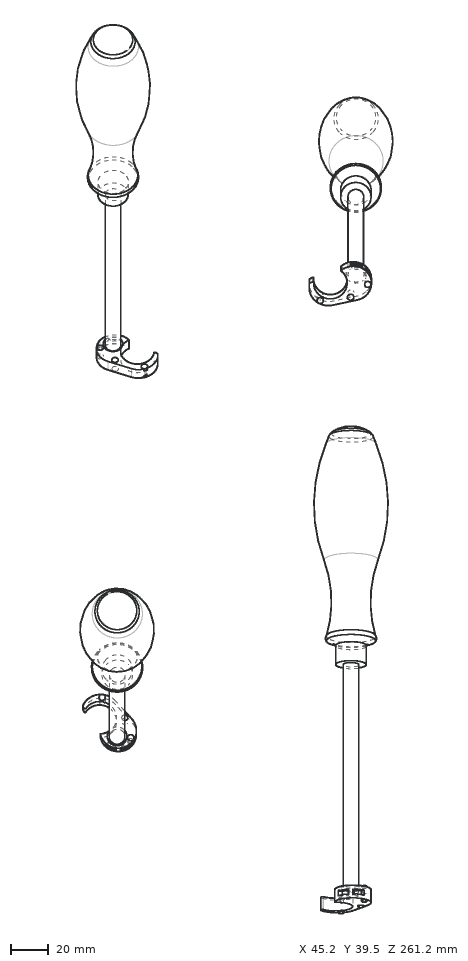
import cadquery as cq
import math

total_height = 261.2
nub_height = 1.0
hook_thickness = 7.0
hook_bottom = nub_height
hook_top = hook_bottom + hook_thickness
ferrule_bottom = 130.9
ferrule_top = 141.3
flare_mid_height = 142.9
lip_bottom = 144.0
lip_top = 146.5
waist_height = 165.0
swell_bottom = 188.3
belly_height = 218.5
swell_top = 252.0
cap_shoulder = 256.2
cap_dome_base = 257.8

belly_diameter = 39.5
belly_radius = belly_diameter / 2
ferrule_radius = 8.0
flare_mid_radius = 9.5
lip_radius = 13.5
lip_neck_radius = 13.0
waist_radius = 10.5
swell_bottom_radius = 14.4
swell_top_radius = 13.3
cap_shoulder_radius = 11.8
cap_dome_radius = 10.5
shaft_radius = 4.2

head_center = (2.5, -1.8)
head_radius = 9.7
jaw_center = (15.1, 3.0)
jaw_radius = 10.32
throat_center = (13.0, 4.5)
throat_radius = 9.0
tip_y = 10.0
tip_rounding = 0.5

nub_radius = 1.7
nub_places = [(-3.7, -6.3), (7.8, -7.8), (22.7, -1.3)]

pocket_mouth_width = 7.3
pocket_floor_width = 4.0
pocket_height = 2.5
pocket_depth = 2.4
pocket_angles = [183, 130]

countersink_radius = 5.2
countersink_depth = 0.8


def cap_sphere_radius(base_radius, rise):
    """Radius of the sphere whose cap has this base radius and rise."""
    return (base_radius**2 + rise**2) / (2 * rise)


def on_circle(center, radius, angle):
    return (center[0] + radius * math.cos(angle), center[1] + radius * math.sin(angle))


def on_circle_at_y(center, radius, y):
    """Point on the +X half of a circle at the given Y."""
    return on_circle(center, radius, math.asin((y - center[1]) / radius))


def direction_and_distance(start, end):
    dx = end[0] - start[0]
    dy = end[1] - start[1]
    return math.atan2(dy, dx), math.hypot(dx, dy)


def make_handle():
    """Turned grip with a domed cap, a lip and a plain ferrule."""
    dome_sphere = cap_sphere_radius(cap_dome_radius, total_height - cap_dome_base)
    dome_mid_radius = cap_dome_radius / 2
    dome_mid_height = total_height - dome_sphere + math.sqrt(dome_sphere**2 - dome_mid_radius**2)
    profile = (
        cq.Workplane("XZ")
        .moveTo(0, ferrule_bottom)
        .lineTo(ferrule_radius, ferrule_bottom)
        .lineTo(ferrule_radius, ferrule_top)
        .threePointArc((flare_mid_radius, flare_mid_height), (lip_neck_radius, lip_bottom))
        .threePointArc((lip_radius, (lip_bottom + lip_top) / 2), (lip_neck_radius, lip_top))
        .threePointArc((waist_radius, waist_height), (swell_bottom_radius, swell_bottom))
        .threePointArc((belly_radius, belly_height), (swell_top_radius, swell_top))
        .lineTo(cap_shoulder_radius, cap_shoulder)
        .lineTo(cap_dome_radius, cap_dome_base)
        .threePointArc((dome_mid_radius, dome_mid_height), (0, total_height))
        .close()
    )
    return profile.revolve(360, (0, 0, 0), (0, 1, 0))


def make_hook_plate():
    """Flat hook: a round head whose straight back runs tangent into the curved jaw."""
    jaw_direction, jaw_distance = direction_and_distance(head_center, jaw_center)
    tangent_angle = jaw_direction - math.acos((head_radius - jaw_radius) / jaw_distance)
    back_start = on_circle(head_center, head_radius, tangent_angle)
    back_end = on_circle(jaw_center, jaw_radius, tangent_angle)

    throat_direction, throat_distance = direction_and_distance(head_center, throat_center)
    horn_angle = throat_direction + math.acos(
        (head_radius**2 + throat_distance**2 - throat_radius**2) / (2 * head_radius * throat_distance)
    )
    horn = on_circle(head_center, head_radius, horn_angle)

    plate = (
        cq.Workplane("XY", origin=(0, 0, hook_bottom))
        .moveTo(*horn)
        .threePointArc(on_circle(head_center, head_radius, math.pi), back_start)
        .lineTo(*back_end)
        .threePointArc(on_circle(jaw_center, jaw_radius, 0), on_circle_at_y(jaw_center, jaw_radius, tip_y))
        .lineTo(*on_circle_at_y(throat_center, throat_radius, tip_y))
        .threePointArc(on_circle(throat_center, throat_radius, -math.pi / 2), horn)
        .close()
        .extrude(hook_thickness)
    )
    return plate.edges("|Z").edges(">Y").fillet(tip_rounding)


def make_pocket(angle):
    """Cutter for one pocket, widening outwards past the rim of the head."""
    floor = head_radius - pocket_depth
    outside = head_radius + pocket_depth
    floor_half_width = pocket_floor_width / 2
    outside_half_width = pocket_mouth_width - floor_half_width
    pocket_bottom = hook_bottom + (hook_thickness - pocket_height) / 2
    return (
        cq.Workplane("XY", origin=(0, 0, pocket_bottom))
        .moveTo(floor, -floor_half_width)
        .lineTo(outside, -outside_half_width)
        .lineTo(outside, outside_half_width)
        .lineTo(floor, floor_half_width)
        .close()
        .extrude(pocket_height)
        .rotate((0, 0, 0), (0, 0, 1), angle)
        .translate((*head_center, 0))
    )


def make_countersink():
    return (
        cq.Workplane("XY", origin=(0, 0, hook_top))
        .circle(countersink_radius)
        .workplane(offset=-countersink_depth)
        .circle(shaft_radius)
        .loft()
    )


def make_tool():
    """Shaft and hook in one piece; the shaft butts against the ferrule."""
    tool = make_hook_plate()
    for angle in pocket_angles:
        tool = tool.cut(make_pocket(angle))
    tool = tool.cut(make_countersink())

    nub_sphere = cap_sphere_radius(nub_radius, nub_height)
    sphere_heights = (
        hook_bottom - nub_height + nub_sphere,
        hook_top + nub_height - nub_sphere,
    )
    for x, y in nub_places:
        for z in sphere_heights:
            tool = tool.union(cq.Workplane("XY").sphere(nub_sphere).translate((x, y, z)))

    shaft = (
        cq.Workplane("XY", origin=(0, 0, hook_bottom))
        .circle(shaft_radius)
        .extrude(ferrule_bottom - hook_bottom)
    )
    return tool.union(shaft)


handle = make_handle()
tool = make_tool()
result = cq.Compound.makeCompound([handle.val(), tool.solids().val()])